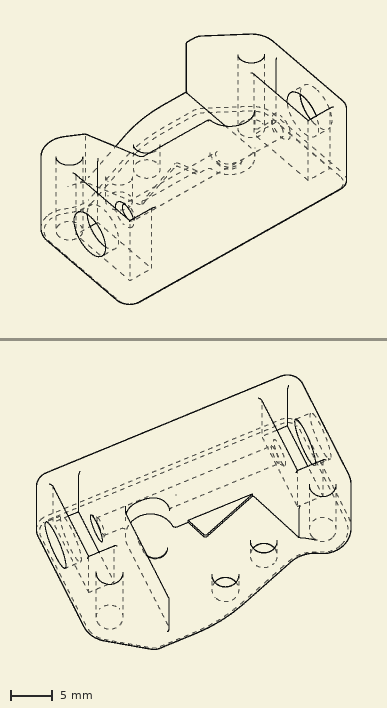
import cadquery as cq
import math

LENGTH_X = 21.6
LENGTH_Y = 34.8
HEIGHT = 12.6
FLOOR_Z = 4.4
EDGE_ROUND = 0.4
BOTTOM_CHAMFER = 0.4
BLOCK_FOOT_Z = 0.7
SHELF_ANGLE = 20.0
PICK_MARGIN = 0.05

BACK_CORNER_RADIUS = 2.02
BOSS_RADIUS = 3.4
BOSS_X = 6.45
BOSS_Y_LOW = BOSS_RADIUS
BOSS_Y_HIGH = LENGTH_Y - BOSS_RADIUS
BEVEL_ANGLE = 54.2
BEVEL_BLEND_RADIUS = 1.5
SHELF_ARC_START_Y = 23.0
SHELF_ARC_RADIUS = 20.0
NECK_ANGLE = 28.7
NECK_RADIUS = 4.05

POCKET_ROUND_X = 12.2
POCKET_ROUND_Y = 23.4
POCKET_ROUND_RADIUS = 3.0
POCKET_WALL_X = 12.05
POCKET_BLEND_RADIUS = 0.42
POCKET_CORNER_Y = 10.0
POCKET_OVERREACH = 3.48

SCREW_DIAMETER = 3.2
SHELF_SCREW_X = 4.0
SHELF_SCREW_Y = 17.3
SHELF_SCREW_PITCH = 6.45

SLOT_CENTER_X = 14.5
SLOT_CENTER_Y = 3.7
SLOT_LENGTH = 10.23
SLOT_WIDTH = 3.35
SLOT_FLOOR_Z = 2.4
BORE_Z = (HEIGHT + SLOT_FLOOR_Z) / 2
BORE_DIAMETER = 2.3
BORE_MOUTH_BEVEL = 0.6
ACCESS_DIAMETER = 6.0

RECESS_X = 11.52
RECESS_HALF_STRAIGHT = 0.65
RECESS_RADIUS = 1.5
RECESS_DEPTH = 0.73
RECESS_FOOT_ROUND = 0.3

WEDGE_HEIGHT = 0.55
WEDGE_LENGTH = 8.0
WEDGE_WIDTH = 3.13
WEDGE_CORNER_RADIUS = 0.28


def sin_deg(angle):
    return math.sin(math.radians(angle))


def cos_deg(angle):
    return math.cos(math.radians(angle))


def tan_deg(angle):
    return math.tan(math.radians(angle))


NECK_START = (
    BOSS_X - BOSS_RADIUS * cos_deg(NECK_ANGLE),
    BOSS_Y_LOW + BOSS_RADIUS * sin_deg(NECK_ANGLE),
)
LOW_BOSS_MIDDLE_ANGLE = (180 - NECK_ANGLE + 270) / 2
SHELF_ARC_END = (
    SHELF_ARC_RADIUS * (1 - cos_deg(SHELF_ANGLE)),
    SHELF_ARC_START_Y - SHELF_ARC_RADIUS * sin_deg(SHELF_ANGLE),
)


def side_crossing():
    """Corner where the tilted shelf side would meet the neck side."""
    start_x = NECK_START[0]
    gap = SHELF_ARC_END[0] - start_x + (SHELF_ARC_END[1] - NECK_START[1]) * tan_deg(SHELF_ANGLE)
    rise = gap / (tan_deg(NECK_ANGLE) + tan_deg(SHELF_ANGLE))
    return (start_x + rise * tan_deg(NECK_ANGLE), NECK_START[1] + rise)


NECK_CORNER = side_crossing()


def boss_point(center_y, angle):
    return (BOSS_X + BOSS_RADIUS * cos_deg(angle), center_y + BOSS_RADIUS * sin_deg(angle))


def vertical_edge_at(point):
    """Selector for the upright edge that stands at the given XY place."""
    return cq.selectors.BoxSelector(
        (point[0] - PICK_MARGIN, point[1] - PICK_MARGIN, -PICK_MARGIN),
        (point[0] + PICK_MARGIN, point[1] + PICK_MARGIN, HEIGHT + PICK_MARGIN),
    )


def edges_within(body, low, high):
    """Edges that lie wholly inside the box between two opposite corners."""
    low = tuple(value - PICK_MARGIN for value in low)
    high = tuple(value + PICK_MARGIN for value in high)
    return body.edges(cq.selectors.BoxSelector(low, high, boundingbox=True))


def make_prism(bottom_z, top_z):
    """Upright block with the outer outline, its neck corner still sharp."""
    bevel_normal = 90 + BEVEL_ANGLE
    bevel_start = boss_point(BOSS_Y_HIGH, bevel_normal)
    bevel_end = (0, bevel_start[1] - bevel_start[0] * tan_deg(BEVEL_ANGLE))
    body = (
        cq.Workplane("XY", origin=(0, 0, bottom_z))
        .moveTo(BOSS_X, 0)
        .lineTo(LENGTH_X, 0)
        .lineTo(LENGTH_X, LENGTH_Y)
        .lineTo(BOSS_X, LENGTH_Y)
        .threePointArc(boss_point(BOSS_Y_HIGH, (90 + bevel_normal) / 2), bevel_start)
        .lineTo(*bevel_end)
        .lineTo(0, SHELF_ARC_START_Y)
        .tangentArcPoint(SHELF_ARC_END, relative=False)
        .lineTo(*NECK_CORNER)
        .lineTo(*NECK_START)
        .threePointArc(boss_point(BOSS_Y_LOW, LOW_BOSS_MIDDLE_ANGLE), (BOSS_X, 0))
        .close()
        .extrude(top_z - bottom_z)
    )
    body = body.edges("|Z and >X").fillet(BACK_CORNER_RADIUS)
    return body.edges(vertical_edge_at(bevel_end)).fillet(BEVEL_BLEND_RADIUS)


def make_shelf():
    """Base plate over the whole outline, with a rounded neck."""
    shelf = make_prism(0, FLOOR_Z)
    shelf = shelf.edges(vertical_edge_at(NECK_CORNER)).fillet(NECK_RADIUS)
    shelf = shelf.faces("<Z").edges().chamfer(BOTTOM_CHAMFER)
    return shelf.faces(">Z").edges().fillet(EDGE_ROUND)


def make_pocket():
    """Space above the shelf, open to the -X side."""
    top_y = POCKET_ROUND_Y + POCKET_ROUND_RADIUS
    blend_x = POCKET_WALL_X + POCKET_BLEND_RADIUS
    offset_x = blend_x - POCKET_ROUND_X
    center_gap = POCKET_ROUND_RADIUS + POCKET_BLEND_RADIUS
    blend_y = POCKET_ROUND_Y - math.sqrt(center_gap**2 - offset_x**2)
    share = POCKET_ROUND_RADIUS / center_gap
    round_end = (POCKET_ROUND_X + share * offset_x, POCKET_ROUND_Y + share * (blend_y - POCKET_ROUND_Y))
    blend_middle = (
        blend_x - POCKET_BLEND_RADIUS * cos_deg(45),
        blend_y + POCKET_BLEND_RADIUS * sin_deg(45),
    )
    drop = tan_deg(SHELF_ANGLE)
    lean = tan_deg(NECK_ANGLE)
    wall_y_at_neck = POCKET_CORNER_Y - (POCKET_WALL_X - NECK_START[0]) * drop
    rise = (wall_y_at_neck - NECK_START[1]) / (1 - drop * lean)
    neck_end = (NECK_START[0] + rise * lean, NECK_START[1] + rise)
    pocket = (
        cq.Workplane("XY")
        .moveTo(-POCKET_OVERREACH, top_y)
        .lineTo(POCKET_ROUND_X, top_y)
        .threePointArc((POCKET_ROUND_X + POCKET_ROUND_RADIUS, POCKET_ROUND_Y), round_end)
        .threePointArc(blend_middle, (POCKET_WALL_X, blend_y))
        .lineTo(POCKET_WALL_X, POCKET_CORNER_Y)
        .lineTo(*neck_end)
        .lineTo(*NECK_START)
        .lineTo(-POCKET_OVERREACH, NECK_START[1])
        .close()
        .extrude(HEIGHT)
    )
    return pocket.edges(vertical_edge_at((POCKET_WALL_X, POCKET_CORNER_Y))).fillet(EDGE_ROUND)


def make_wedge():
    """Tilted block on the shelf, one corner in the pocket corner."""
    return (
        cq.Workplane("XY")
        .rect(WEDGE_WIDTH, WEDGE_LENGTH, centered=False)
        .extrude(WEDGE_HEIGHT)
        .edges("|Z and <X and >Y")
        .fillet(WEDGE_CORNER_RADIUS)
        .rotate((0, 0, 0), (0, 0, 1), SHELF_ANGLE)
        .translate((POCKET_WALL_X, POCKET_CORNER_Y, FLOOR_Z))
    )


def make_upper_block():
    """Full-height part beside the pocket, with its rim and pocket mouth rounded."""
    block = make_prism(BLOCK_FOOT_Z, HEIGHT).cut(make_pocket())
    mouth = block.edges(vertical_edge_at((0, POCKET_ROUND_Y + POCKET_ROUND_RADIUS)))
    return mouth.add(block.faces(">Z").edges()).fillet(EDGE_ROUND)


def cut_screw_holes(body):
    """Through holes with rounded mouths, two in the bosses and two in the shelf."""
    shelf_low = (
        SHELF_SCREW_X + SHELF_SCREW_PITCH * sin_deg(SHELF_ANGLE),
        SHELF_SCREW_Y - SHELF_SCREW_PITCH * cos_deg(SHELF_ANGLE),
    )
    holes = [
        (BOSS_X, BOSS_Y_LOW, HEIGHT),
        (BOSS_X, BOSS_Y_HIGH, HEIGHT),
        (SHELF_SCREW_X, SHELF_SCREW_Y, FLOOR_Z),
        (*shelf_low, FLOOR_Z),
    ]
    radius = SCREW_DIAMETER / 2
    for x, y, mouth_z in holes:
        body = body.cut(cq.Workplane("XY").center(x, y).circle(radius).extrude(HEIGHT))
        mouth = edges_within(body, (x - radius, y - radius, mouth_z), (x + radius, y + radius, mouth_z))
        body = mouth.fillet(EDGE_ROUND)
    return body


def cut_slots(body):
    """Two rectangular slots sunk from the top, with rounded rims."""
    half_x = SLOT_LENGTH / 2
    half_y = SLOT_WIDTH / 2
    for y in (SLOT_CENTER_Y, LENGTH_Y - SLOT_CENTER_Y):
        slot = (
            cq.Workplane("XY", origin=(SLOT_CENTER_X, y, SLOT_FLOOR_Z))
            .rect(SLOT_LENGTH, SLOT_WIDTH)
            .extrude(HEIGHT)
        )
        body = body.cut(slot)
        low = (SLOT_CENTER_X - half_x, y - half_y, HEIGHT)
        high = (SLOT_CENTER_X + half_x, y + half_y, HEIGHT)
        body = edges_within(body, low, high).fillet(EDGE_ROUND)
    return body


def rod_along_y(diameter, start_y, end_y):
    return (
        cq.Workplane("XZ", origin=(SLOT_CENTER_X, start_y, BORE_Z))
        .circle(diameter / 2)
        .extrude(start_y - end_y)
    )


def cut_bore(body):
    """Bore between the slots: bevelled mouths in the slots, a rounded edge where it grazes the pocket."""
    start_y = SLOT_CENTER_Y + SLOT_WIDTH / 2
    end_y = LENGTH_Y - start_y
    radius = BORE_DIAMETER / 2
    body = body.cut(rod_along_y(BORE_DIAMETER, start_y, end_y))
    low = (SLOT_CENTER_X - radius, start_y, BORE_Z - radius)
    high = (SLOT_CENTER_X + radius, end_y, BORE_Z + radius)
    pocket_edge = edges_within(body, low, high).edges("%BSPLINE")
    body = pocket_edge.fillet(EDGE_ROUND)
    slot_mouths = edges_within(body, low, high).edges("%CIRCLE")
    return slot_mouths.chamfer(BORE_MOUTH_BEVEL)


def cut_access_openings(body):
    """Large round opening through each end wall into its slot."""
    body = body.cut(rod_along_y(ACCESS_DIAMETER, 0, SLOT_CENTER_Y))
    return body.cut(rod_along_y(ACCESS_DIAMETER, LENGTH_Y - SLOT_CENTER_Y, LENGTH_Y))


def cut_recess(body):
    """Shallow obround recess with a rounded rim and a rounded foot."""
    length = 2 * (RECESS_HALF_STRAIGHT + RECESS_RADIUS)
    recess = (
        cq.Workplane("XY", origin=(RECESS_X, POCKET_ROUND_Y, FLOOR_Z - RECESS_DEPTH))
        .slot2D(length, 2 * RECESS_RADIUS)
        .extrude(RECESS_DEPTH)
        .faces("<Z")
        .edges()
        .fillet(RECESS_FOOT_ROUND)
    )
    body = body.cut(recess)
    low = (RECESS_X - length / 2, POCKET_ROUND_Y - RECESS_RADIUS, FLOOR_Z)
    high = (RECESS_X + length / 2, POCKET_ROUND_Y + RECESS_RADIUS, FLOOR_Z)
    return edges_within(body, low, high).fillet(EDGE_ROUND)


result = make_shelf().union(make_upper_block())
result = cut_slots(result)
result = cut_bore(result)
result = cut_access_openings(result)
result = cut_screw_holes(result)
result = cut_recess(result)
result = result.union(make_wedge())